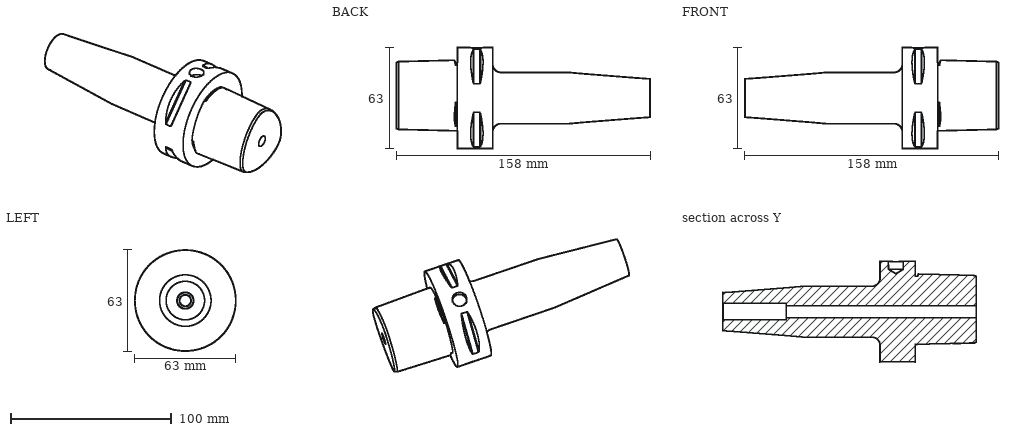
import cadquery as cq
import math

total_length = 158.0

tip_diameter = 24.0
body_diameter = 32.0
nose_taper_length = 50.5
flange_diameter = 63.0
flange_start = 98.0
flange_end = 120.1
root_fillet = 5.0

clamp_diameter = 10.0
clamp_mouth_diameter = 10.5
clamp_mouth_chamfer = (clamp_mouth_diameter - clamp_diameter) / 2
clamp_depth = 39.5
coolant_diameter = 7.0

shank_mean_diameter = 44.1
lobe_height = 1.6
shank_taper = 1 / 20
outline_points = 72
straight_length = 2.7
neck_radius = 22.1
neck_length = 1.1
neck_cone_length = 1.6
end_chamfer_length = 1.6
end_chamfer_depth = 0.6

groove_station = 107.9
groove_count = 4
groove_floor_distance = 27.6
groove_floor_width = 3.6
groove_floor_bevel = 0.5
groove_wall_angle = 25.0
cut_clearance = 1.6
dimple_diameter = 9.0
dimple_depth = 5.0
drill_point_angle = 118.0


def make_nose_and_flange():
    body_radius = body_diameter / 2
    arc_inset = root_fillet * (1 - math.sqrt(0.5))
    profile = (
        cq.Workplane("XY")
        .lineTo(0, tip_diameter / 2)
        .lineTo(nose_taper_length, body_radius)
        .lineTo(flange_start - root_fillet, body_radius)
        .threePointArc(
            (flange_start - arc_inset, body_radius + arc_inset),
            (flange_start, body_radius + root_fillet),
        )
        .lineTo(flange_start, flange_diameter / 2)
        .lineTo(flange_end, flange_diameter / 2)
        .lineTo(flange_end, 0)
        .close()
    )
    return profile.revolve(360, (0, 0, 0), (1, 0, 0))


def lobed_outline(station, mean_diameter):
    """Constant-width three-lobed outline in the plane X = station."""

    def point(t):
        angle = 2 * math.pi * t
        up = (
            mean_diameter / 2 * math.cos(angle)
            + 2 * lobe_height * math.cos(2 * angle)
            - lobe_height * math.cos(4 * angle)
        )
        side = (
            mean_diameter / 2 * math.sin(angle)
            - 2 * lobe_height * math.sin(2 * angle)
            - lobe_height * math.sin(4 * angle)
        )
        return cq.Vector(station, side, up)

    points = [point(i / outline_points) for i in range(outline_points)]
    return cq.Wire.assembleEdges([cq.Edge.makeSpline(points, periodic=True)])


def make_shank():
    taper_start = flange_end + straight_length
    chamfer_start = total_length - end_chamfer_length
    end_diameter = shank_mean_diameter - shank_taper * (chamfer_start - taper_start)
    sections = [
        lobed_outline(flange_end, shank_mean_diameter),
        lobed_outline(taper_start, shank_mean_diameter),
        lobed_outline(chamfer_start, end_diameter),
        lobed_outline(total_length, end_diameter - 2 * end_chamfer_depth),
    ]
    lobed = cq.Workplane(obj=cq.Solid.makeLoft(sections, True))

    full_radius = shank_mean_diameter / 2 + 2 * lobe_height
    neck_end = flange_end + neck_length
    cone_end = neck_end + neck_cone_length
    envelope = (
        cq.Workplane("XY")
        .moveTo(flange_end, 0)
        .lineTo(flange_end, neck_radius)
        .lineTo(neck_end, neck_radius)
        .lineTo(cone_end, full_radius)
        .lineTo(total_length, full_radius)
        .lineTo(total_length, 0)
        .close()
        .revolve(360, (0, 0, 0), (1, 0, 0))
    )
    return lobed.intersect(envelope)


def make_bore():
    clamp_radius = clamp_diameter / 2
    coolant_radius = coolant_diameter / 2
    profile = (
        cq.Workplane("XY")
        .lineTo(0, clamp_mouth_diameter / 2)
        .lineTo(clamp_mouth_chamfer, clamp_radius)
        .lineTo(clamp_depth, clamp_radius)
        .lineTo(clamp_depth, coolant_radius)
        .lineTo(total_length, coolant_radius)
        .lineTo(total_length, 0)
        .close()
    )
    return profile.revolve(360, (0, 0, 0), (1, 0, 0))


def make_gripper_groove():
    """Flat-bottomed groove with beveled floor corners and flared walls, running along Y below +Z."""
    top_distance = flange_diameter / 2 + cut_clearance
    wall_foot = groove_floor_distance + groove_floor_bevel
    flare = (top_distance - wall_foot) * math.tan(math.radians(groove_wall_angle))
    half_floor = groove_floor_width / 2
    half_foot = half_floor + groove_floor_bevel
    half_top = half_foot + flare
    return (
        cq.Workplane("XZ")
        .polyline(
            [
                (groove_station - half_floor, groove_floor_distance),
                (groove_station + half_floor, groove_floor_distance),
                (groove_station + half_foot, wall_foot),
                (groove_station + half_top, top_distance),
                (groove_station - half_top, top_distance),
                (groove_station - half_foot, wall_foot),
            ]
        )
        .close()
        .extrude(flange_diameter / 2, both=True)
    )


def make_dimple():
    """Drilled blind hole entering the flange from +Z."""
    rim = flange_diameter / 2
    radius = dimple_diameter / 2
    shoulder = rim - dimple_depth
    point_height = radius / math.tan(math.radians(drill_point_angle / 2))
    return (
        cq.Workplane("XZ", origin=(groove_station, 0, 0))
        .moveTo(0, rim)
        .lineTo(radius, rim)
        .lineTo(radius, shoulder)
        .lineTo(0, shoulder - point_height)
        .close()
        .revolve(360, (0, 0, 0), (0, 1, 0))
    )


result = make_nose_and_flange().union(make_shank()).cut(make_bore()).cut(make_dimple())

groove_pitch = 360 / groove_count
for index in range(groove_count):
    groove_angle = (index + 0.5) * groove_pitch
    result = result.cut(make_gripper_groove().rotate((0, 0, 0), (1, 0, 0), groove_angle))